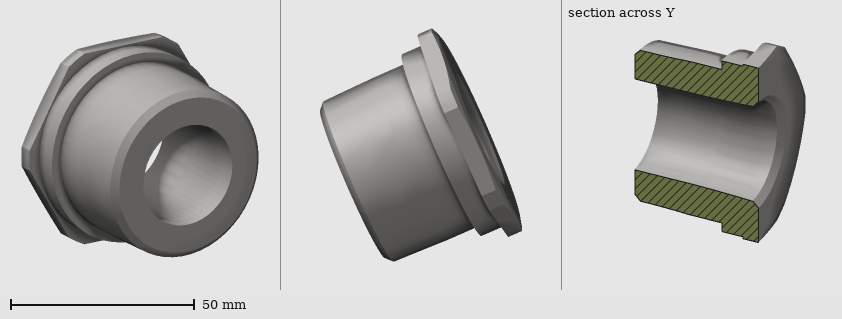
import cadquery as cq
import math

hex_end = 4.9
collar_end = 11.25
cylinder_end = 20.4
taper_end = 35.9
length = 37.7

across_flats = 55.0
across_corners = 60.5
face_radius = 27.3
bevel_depth = 0.8

collar_radius = 26.95
cylinder_radius = 24.25
taper_end_radius = 23.8
tip_radius = 22.0

mouth_radius = 16.7
bore_start_radius = 14.9
bore_end_radius = 14.3
countersink_depth = 1.8
bore_taper_end = 19.1


def revolve_profile(points):
    """Turn a closed (x, radius) outline around the X axis."""
    return cq.Workplane("XY").polyline(points).close().revolve(360, (0, 0, 0), (1, 0, 0))


def make_head():
    """Hexagon with flats facing +Z and -Z, bevelled and turned at its corners."""
    hexagon = (
        cq.Workplane("YZ")
        .polygon(6, across_flats / math.cos(math.pi / 6))
        .extrude(hex_end)
    )
    corner_radius = across_corners / 2
    envelope = revolve_profile([
        (0, 0),
        (0, face_radius),
        (bevel_depth, corner_radius),
        (hex_end, corner_radius),
        (hex_end, 0),
    ])
    return hexagon.intersect(envelope)


def make_body():
    """Collar, cylinder and tapered spigot with a chamfered tip."""
    return revolve_profile([
        (hex_end, 0),
        (hex_end, collar_radius),
        (collar_end, collar_radius),
        (collar_end, cylinder_radius),
        (cylinder_end, cylinder_radius),
        (taper_end, taper_end_radius),
        (length, tip_radius),
        (length, 0),
    ])


def make_bore():
    """Cutting tool for the countersunk, tapered and straight bore."""
    return revolve_profile([
        (0, 0),
        (0, mouth_radius),
        (countersink_depth, bore_start_radius),
        (bore_taper_end, bore_end_radius),
        (length, bore_end_radius),
        (length, 0),
    ])


result = make_head().union(make_body()).cut(make_bore())